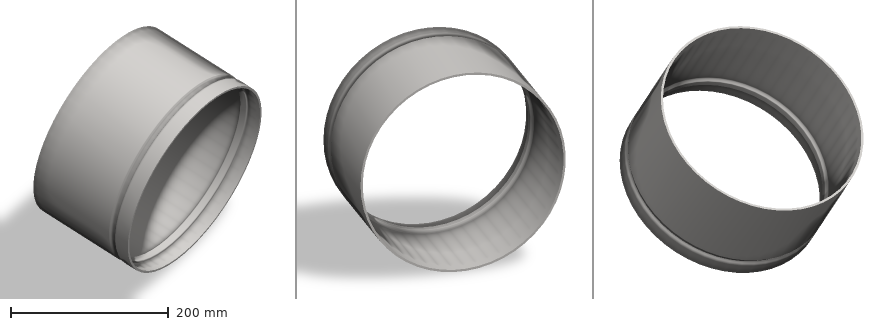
import cadquery as cq
import math


length = 152.3
wall = 3.0
pipe_radius = 273.1 / 2
groove_radius = 265.2 / 2
crest_radius = 273.5 / 2
collar_taper = 1.0
floor_corner_x = 125.0
groove_end_x = 130.0
entry_slope = 53.0
floor_bend = 2.2
edge_bend = 1.5
crest_bend = 4.5

pipe_bore = pipe_radius - wall
groove_bore = groove_radius - wall
crest_bore = crest_radius - wall
crest_bore_bend = crest_bend - wall
bore_wall_x = groove_end_x + wall

taper_angle = math.radians(collar_taper)
taper_slope = math.tan(taper_angle)
corner_rise = 1 / math.cos(taper_angle) + taper_slope - 1
crest_corner_radius = crest_radius + crest_bend * corner_rise
crest_corner_bore = crest_bore + crest_bore_bend * corner_rise
collar_end_radius = crest_corner_radius - (length - groove_end_x) * taper_slope
collar_end_bore = crest_corner_bore - (length - bore_wall_x) * taper_slope

cone_length = (pipe_radius - groove_radius) / math.tan(math.radians(entry_slope))
bore_corner_shift = wall * math.tan(math.radians(entry_slope / 2))
shoulder_corner_x = floor_corner_x - cone_length
bore_floor_corner_x = floor_corner_x - bore_corner_shift
bore_shoulder_corner_x = shoulder_corner_x - bore_corner_shift


def corner_arc(previous, corner, following, radius):
    """Start, middle and end of the arc of this radius that rounds a corner."""
    corner = cq.Vector(*corner)
    back = (cq.Vector(*previous) - corner).normalized()
    ahead = (cq.Vector(*following) - corner).normalized()
    half_angle = back.getAngle(ahead) / 2
    setback = radius / math.tan(half_angle)
    center_distance = radius / math.sin(half_angle)
    start = corner + back * setback
    middle = corner + (back + ahead).normalized() * (center_distance - radius)
    end = corner + ahead * setback
    return start, middle, end


def rounded_outline(corners):
    """Closed outline through (x, r, bend radius) corners; the first corner stays sharp."""
    points = [(x, r) for x, r, _ in corners]
    outline = cq.Workplane("XY").moveTo(*points[0])
    for i in range(1, len(corners)):
        bend = corners[i][2]
        if bend == 0:
            outline = outline.lineTo(*points[i])
        else:
            following = points[(i + 1) % len(points)]
            start, middle, end = corner_arc(points[i - 1], points[i], following, bend)
            outline = outline.lineTo(start.x, start.y)
            outline = outline.threePointArc((middle.x, middle.y), (end.x, end.y))
    return outline.close()


half_section = rounded_outline([
    (0, pipe_bore, 0),
    (0, pipe_radius, 0),
    (shoulder_corner_x, pipe_radius, edge_bend),
    (floor_corner_x, groove_radius, floor_bend),
    (groove_end_x, groove_radius, 0),
    (groove_end_x, crest_corner_radius, crest_bend),
    (length, collar_end_radius, 0),
    (length, collar_end_bore, 0),
    (bore_wall_x, crest_corner_bore, crest_bore_bend),
    (bore_wall_x, groove_bore, edge_bend),
    (bore_floor_corner_x, groove_bore, edge_bend),
    (bore_shoulder_corner_x, pipe_bore, edge_bend),
])

result = half_section.revolve(360, (0, 0, 0), (1, 0, 0))